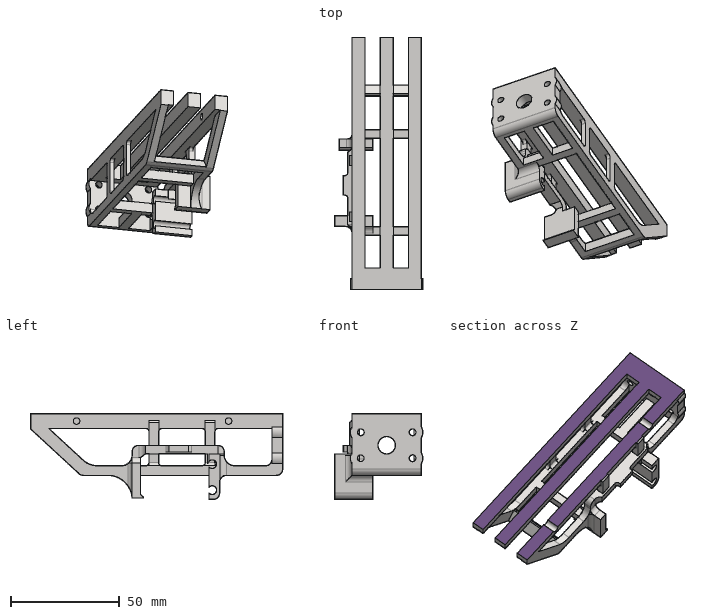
import cadquery as cq
import math


rail_width = 6.0
rail_gap = 7.0
rail_bottom = -7.0
body_width = 3 * rail_width + 2 * rail_gap
body_length = 116.0
body_bottom = -28.5
front_wall = 5.0
slot_start = 10.0
frame_thickness = 3.5
frame_rail_height = 4.5
frame_rail_top = body_bottom + frame_rail_height
nose_bottom = -7.2
knee_y = 92.9
window_tip_y = 107.5
edge_radius = 3.0
knee_window_radius = 10.0
window_corner_radius = 3.0
right_frame_x = body_width - frame_thickness
middle_beam_width = 4.6
strut_slope = (nose_bottom - body_bottom) / (body_length - knee_y)

bar_depth = 4.0
bar_starts = (24.9, 69.6)
knee_bar_front = 88.9
knee_bar_end = 90.1

bore_radius = 4.0
bore_z = -14.6
screw_radius = 1.5
screw_spacing_x = 23.9
screw_spacing_z = 12.0
boss_overhang = 0.7
boss_radius = (body_width - screw_spacing_x) / 2 + boss_overhang
rail_hole_radius = 1.5
rail_hole_z = -3.5
rail_hole_ys = (24.9, 94.9)

post_depth = 4.5
post_starts = (31.2, 57.1)
post_thickness = 2.0
post_overhang = 1.0
post_top = -3.1
post_fillet = 1.5

arch_front = 26.9
arch_back = 69.4
arch_top = -14.6
arch_height = 4.0
arch_bottom = arch_top - arch_height
arch_wing = 2.0
arch_foot_fillet = 4.9
arch_front_inner = 34.7
arch_front_inner_bottom = -23.0
wing_front = 29.9
wing_back = 63.1
haunch_height = 1.7
tab_start = 43.4
tab_end = 52.4
tab_reach = 4.1
tab_height = 3.1
tab_fillet = 1.4

leg_inner_x = 9.6
front_leg_outer_x = -8.0
front_leg_start = 29.0
front_leg_end = 34.0
front_leg_bottom = -39.5
notch_radius = 2.0
notch_y = 32.5
notch_zs = (-35.3, -23.3)
front_blend_top = -19.3
rear_leg_outer_x = -5.9
rear_leg_start = 65.4
rear_leg_top = -22.7
rear_leg_bottom = -39.0
rear_leg_shoulder_fillet = 2.4
rear_blend_radius = 2.0
gusset_radius = 11.0
hook_reach = 1.4
hook_lip = 0.3


def block(x0, x1, y0, y1, z0, z1):
    return cq.Workplane("XY").box(x1 - x0, y1 - y0, z1 - z0, centered=False).translate((x0, y0, z0))


def yz_sketch(x0):
    """Sketch plane at x0 whose axes are Y and Z; it extrudes toward +X."""
    return cq.Workplane("YZ").workplane(offset=x0)


def yz_prism(points, x0, x1):
    return yz_sketch(x0).polyline(points).close().extrude(x1 - x0)


def x_cylinder(y, z, radius, x0, x1):
    return yz_sketch(x0).center(y, z).circle(radius).extrude(x1 - x0)


def y_cylinder(x, z, radius, length):
    return cq.Workplane("XZ").center(x, z).circle(radius).extrude(-length)


def corner_fillet(sketch, corner, direction, radius, length):
    """Concave fillet material in a corner; direction holds the signs of its two legs."""
    u, v = corner
    du, dv = direction[0] * radius, direction[1] * radius
    inset = 1 - math.sqrt(0.5)
    return (
        sketch.moveTo(u, v)
        .lineTo(u + du, v)
        .threePointArc((u + du * inset, v + dv * inset), (u, v + dv))
        .close()
        .extrude(length)
    )


def yz_fillet(y, z, direction, radius, x0, x1):
    return corner_fillet(yz_sketch(x0), (y, z), direction, radius, x1 - x0)


def xy_fillet(x, y, direction, radius, z0, z1):
    sketch = cq.Workplane("XY").workplane(offset=z0)
    return corner_fillet(sketch, (x, y), direction, radius, z1 - z0)


def side_outline(x0, x1):
    """Full side silhouette of the body, with its bottom edges rounded."""
    outline = yz_prism(
        [(0, 0), (body_length, 0), (body_length, nose_bottom), (knee_y, body_bottom), (0, body_bottom)],
        x0,
        x1,
    )
    for y in (0, knee_y):
        lower_edge = cq.selectors.NearestToPointSelector(((x0 + x1) / 2, y, body_bottom))
        outline = outline.edges(lower_edge).fillet(edge_radius)
    return outline


def make_body():
    body = side_outline(0, body_width)

    knee_window_y = window_tip_y - (rail_bottom - frame_rail_top) / strut_slope
    window = yz_prism(
        [
            (front_wall, rail_bottom),
            (window_tip_y, rail_bottom),
            (knee_window_y, frame_rail_top),
            (front_wall, frame_rail_top),
        ],
        0,
        body_width,
    )
    for y, radius in ((front_wall, window_corner_radius), (knee_window_y, knee_window_radius)):
        corner = cq.selectors.NearestToPointSelector((body_width / 2, y, frame_rail_top))
        window = window.edges(corner).fillet(radius)
    body = body.cut(window)

    body = body.cut(
        block(frame_thickness, right_frame_x, front_wall, body_length, body_bottom, rail_bottom)
    )

    for x in (rail_width, 2 * rail_width + rail_gap):
        body = body.cut(block(x, x + rail_gap, slot_start, body_length, rail_bottom, 0))

    for y in bar_starts:
        body = body.union(
            block(frame_thickness, right_frame_x, y, y + bar_depth, body_bottom, frame_rail_top)
        )

    end_z = rail_bottom - (window_tip_y - knee_bar_end) * strut_slope
    run = (end_z - body_bottom) * strut_slope
    knee_bar = yz_prism(
        [
            (knee_bar_front, body_bottom),
            (knee_bar_end + run, body_bottom),
            (knee_bar_end, end_z),
            (knee_bar_front, end_z),
        ],
        frame_thickness,
        right_frame_x,
    )
    knee_bar = knee_bar.intersect(side_outline(0, body_width)).cut(window)
    body = body.union(knee_bar)

    middle_x = body_width / 2
    return body.union(block(
        middle_x - middle_beam_width / 2,
        middle_x + middle_beam_width / 2,
        front_wall,
        bar_starts[0],
        body_bottom,
        frame_rail_top,
    ))


def make_post(y, outer_x, inner_x, bottom):
    """Post hanging from a rail, flared along Y where it meets the rail."""
    post = block(outer_x, inner_x, y, y + post_depth, bottom, rail_bottom)
    flare_x = max(outer_x, 0)
    for side_y, sign in ((y, -1), (y + post_depth, 1)):
        post = post.union(yz_fillet(side_y, rail_bottom, (sign, -1), post_fillet, flare_x, inner_x))
    return post


def make_left_post(y):
    """Post standing on the arch, with a head lapping the outside of the rail."""
    post = make_post(y, -post_overhang, post_thickness, arch_top)
    head = (
        cq.Workplane("XZ")
        .workplane(offset=-y)
        .polyline([
            (0, rail_bottom),
            (-post_overhang, rail_bottom),
            (-post_overhang, post_top - post_overhang),
            (0, post_top),
        ])
        .close()
        .extrude(-post_depth)
    )
    return post.union(head)


def make_right_post(y):
    """Post standing on the right frame rail, with a flared foot."""
    face_x = body_width - post_thickness
    post = make_post(y, face_x, body_width, frame_rail_top)
    for side_y, sign in ((y, -1), (y + post_depth, 1)):
        post = post.union(
            yz_fillet(side_y, frame_rail_top, (sign, 1), post_fillet, face_x, body_width)
        )
    foot = corner_fillet(
        cq.Workplane("XZ").workplane(offset=-y),
        (face_x, frame_rail_top),
        (-1, 1),
        post_fillet,
        -post_depth,
    )
    return post.union(foot)


def make_arch():
    """Raised bridge between the legs, carried by an upright at each end."""
    bend = edge_radius * (1 - math.sqrt(0.5))
    haunch_bottom = arch_bottom - haunch_height
    arch = (
        yz_sketch(-arch_wing)
        .moveTo(arch_back, body_bottom)
        .lineTo(arch_back, arch_top - edge_radius)
        .threePointArc((arch_back - bend, arch_top - bend), (arch_back - edge_radius, arch_top))
        .lineTo(arch_front + edge_radius, arch_top)
        .threePointArc((arch_front + bend, arch_top - bend), (arch_front, arch_top - edge_radius))
        .lineTo(arch_front, body_bottom)
        .lineTo(front_leg_end, body_bottom)
        .lineTo(front_leg_end, arch_front_inner_bottom)
        .lineTo(arch_front_inner, arch_front_inner_bottom)
        .lineTo(arch_front_inner, arch_bottom)
        .lineTo(wing_back, arch_bottom)
        .lineTo(rear_leg_start, haunch_bottom)
        .lineTo(rear_leg_start, body_bottom)
        .close()
        .extrude(arch_wing + frame_thickness)
    )

    plan = block(0, frame_thickness, arch_front, arch_back, body_bottom, arch_top)
    plan = plan.union(block(-arch_wing, 0, wing_front, wing_back, body_bottom, arch_top))
    for y, sign, wing_bottom in ((wing_front, -1, arch_bottom), (wing_back, 1, haunch_bottom)):
        plan = plan.union(xy_fillet(0, y, (-1, sign), edge_radius, wing_bottom, arch_top))
    arch = arch.intersect(plan)

    for y, sign in ((arch_front, -1), (arch_back, 1)):
        arch = arch.union(
            yz_fillet(y, frame_rail_top, (sign, 1), arch_foot_fillet, 0, frame_thickness)
        )

    tab_bottom = arch_top - tab_height
    arch = arch.union(block(-tab_reach, 0, tab_start, tab_end, tab_bottom, arch_top))
    for y, sign in ((tab_start, -1), (tab_end, 1)):
        arch = arch.union(xy_fillet(-arch_wing, y, (-1, sign), tab_fillet, tab_bottom, arch_top))
    return arch


def make_front_leg():
    leg = block(
        front_leg_outer_x, leg_inner_x, front_leg_start, front_leg_end, front_leg_bottom, arch_bottom
    )
    leg = leg.faces("<Z").edges("<Y").fillet(edge_radius)

    under = yz_fillet(front_leg_start, body_bottom, (-1, -1), edge_radius, -edge_radius, leg_inner_x)
    beside = xy_fillet(
        0, front_leg_start, (-1, -1), edge_radius, body_bottom - edge_radius, front_blend_top
    )
    leg = leg.union(under.intersect(beside))
    leg = leg.union(under.intersect(
        block(0, leg_inner_x, 0, front_leg_start, front_leg_bottom, body_bottom)
    ))
    side = block(-edge_radius, 0, 0, front_leg_start, body_bottom, frame_rail_top)
    side = side.union(block(
        -edge_radius, 0, arch_front, front_leg_start, frame_rail_top, front_blend_top
    ))
    side = side.union(yz_fillet(
        arch_front, frame_rail_top, (-1, 1), arch_foot_fillet, -edge_radius, 0
    ))
    leg = leg.union(beside.intersect(side))

    return leg.union(yz_fillet(
        front_leg_start, frame_rail_top, (-1, 1), edge_radius, frame_thickness, leg_inner_x
    ))


def make_rear_leg():
    tip_y = rear_leg_start - hook_reach
    lip_top = rear_leg_bottom + hook_lip
    leg = yz_prism(
        [
            (arch_back, rear_leg_top),
            (arch_back, rear_leg_bottom),
            (tip_y, rear_leg_bottom),
            (tip_y, lip_top),
            (rear_leg_start, lip_top + hook_reach),
            (rear_leg_start, rear_leg_top),
        ],
        rear_leg_outer_x,
        leg_inner_x,
    )

    side = yz_fillet(
        arch_back, body_bottom, (1, -1), gusset_radius, -rear_blend_radius, frame_thickness
    )
    leg = leg.union(side.intersect(
        block(0, frame_thickness, arch_back, body_length, rear_leg_bottom, body_bottom)
    ))
    side = side.union(block(
        -rear_blend_radius, 0, arch_back, arch_back + gusset_radius, body_bottom, frame_rail_top
    ))
    side = side.union(yz_fillet(
        arch_back, frame_rail_top, (1, 1), arch_foot_fillet, -rear_blend_radius, 0
    ))
    blend = xy_fillet(0, arch_back, (-1, 1), rear_blend_radius, rear_leg_bottom, rear_leg_top)
    leg = leg.union(blend.intersect(side))

    shoulder = corner_fillet(
        cq.Workplane("XZ").workplane(offset=-rear_leg_start),
        (0, rear_leg_top),
        (-1, 1),
        rear_leg_shoulder_fillet,
        rear_leg_start - arch_back,
    )
    return leg.union(shoulder)


part = make_body()

part = part.cut(
    block(0, frame_thickness, front_leg_end, rear_leg_start, body_bottom, frame_rail_top)
)

for feature in (make_arch(), make_front_leg(), make_rear_leg()):
    part = part.union(feature)
for post_y in post_starts:
    part = part.union(make_left_post(post_y)).union(make_right_post(post_y))

for z in notch_zs:
    part = part.cut(x_cylinder(notch_y, z, notch_radius, front_leg_outer_x, leg_inner_x))

for y in rail_hole_ys:
    part = part.cut(x_cylinder(y, rail_hole_z, rail_hole_radius, 0, rail_width))

screw_centers = [
    (body_width / 2 + sx * screw_spacing_x / 2, bore_z + sz * screw_spacing_z / 2)
    for sx in (-1, 1)
    for sz in (-1, 1)
]
for x, z in screw_centers:
    part = part.union(y_cylinder(x, z, boss_radius, front_wall))
for x, z in screw_centers:
    part = part.cut(y_cylinder(x, z, screw_radius, front_wall))
part = part.cut(y_cylinder(body_width / 2, bore_z, bore_radius, front_wall))

result = part